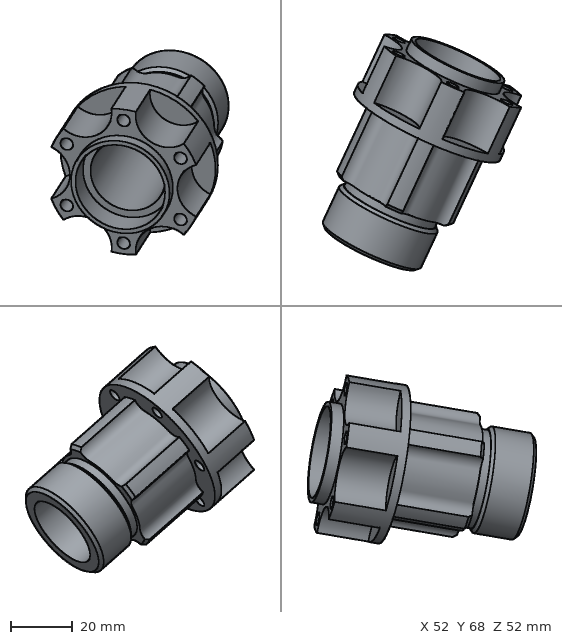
import cadquery as cq
import math

flange_radius = 26.01
spigot_radius = 16.5
collar_radius = 17.55
groove_radius = 16.2
bore_radius = 12.5
counterbore_radius = 15.0

spigot_length = 4.0
flange_length = 20.0
splined_length = 26.0
groove_length = 3.0
total_length = 68.0
counterbore_depth = 9.0
edge_chamfer = 1.15

flange_repeats = 6
scallop_radius = 10.0
scallop_circle_radius = 28.0
scallop_depth = 17.0
bolt_hole_radius = 2.1
bolt_circle_radius = 22.0

spline_count = 5
spline_tip_radius = 21.0
spline_root_radius = 17.5
spline_half_width = 2.8
spline_fillet = 4.0
first_spline_angle = -90.0

flange_start = spigot_length
flange_end = flange_start + flange_length
splines_end = flange_end + splined_length
collar_start = splines_end + groove_length
collar_length = total_length - collar_start


def section_plane(y):
    """Plane across the axis at y, with local X along +X, local Y along +Z and normal along -Y."""
    return cq.Workplane("XZ", origin=(0, y, 0))


def cylinder(radius, start, length):
    return section_plane(start).circle(radius).extrude(-length)


def polar(radius, angle):
    """Point at a radius and an angle in radians."""
    return (radius * math.cos(angle), radius * math.sin(angle))


def spline_body():
    """Splines with parallel sides that run into the root cylinder through tangent fillets."""
    fillet_centre_y = spline_half_width + spline_fillet
    fillet_centre_radius = spline_root_radius + spline_fillet
    root_angle = math.asin(fillet_centre_y / fillet_centre_radius)
    fillet_centre_x = fillet_centre_radius * math.cos(root_angle)
    tip_angle = math.asin(spline_half_width / spline_tip_radius)
    mid_direction = (root_angle + math.pi + 1.5 * math.pi) / 2
    mid_x = fillet_centre_x + spline_fillet * math.cos(mid_direction)
    mid_y = fillet_centre_y + spline_fillet * math.sin(mid_direction)
    mid_radius = math.hypot(mid_x, mid_y)
    mid_angle = math.atan2(mid_y, mid_x)
    side_radius = math.hypot(fillet_centre_x, spline_half_width)
    side_angle = math.atan2(spline_half_width, fillet_centre_x)

    pitch = 2 * math.pi / spline_count
    first = math.radians(first_spline_angle)
    outline = section_plane(flange_end).moveTo(*polar(spline_root_radius, first - root_angle))
    for index in range(spline_count):
        angle = first + index * pitch
        outline = (
            outline
            .threePointArc(polar(mid_radius, angle - mid_angle), polar(side_radius, angle - side_angle))
            .lineTo(*polar(spline_tip_radius, angle - tip_angle))
            .threePointArc(polar(spline_tip_radius, angle), polar(spline_tip_radius, angle + tip_angle))
            .lineTo(*polar(side_radius, angle + side_angle))
            .threePointArc(polar(mid_radius, angle + mid_angle), polar(spline_root_radius, angle + root_angle))
            .threePointArc(
                polar(spline_root_radius, angle + pitch / 2),
                polar(spline_root_radius, angle + pitch - root_angle),
            )
        )
    splines = outline.close().extrude(-splined_length)
    chamfered_envelope = (
        cylinder(spline_tip_radius, flange_end, splined_length).faces(">Y").edges().chamfer(edge_chamfer)
    )
    return splines.intersect(chamfered_envelope)


def flange():
    """Flange with open scallops in its front and bolt holes between them."""
    scallops = (
        section_plane(flange_start)
        .polarArray(scallop_circle_radius, 0, 360, flange_repeats)
        .circle(scallop_radius)
        .extrude(-scallop_depth)
    )
    half_pitch = 180 / flange_repeats
    bolt_holes = (
        section_plane(flange_start)
        .polarArray(bolt_circle_radius, half_pitch, 360, flange_repeats)
        .circle(bolt_hole_radius)
        .extrude(-flange_length)
    )
    return cylinder(flange_radius, flange_start, flange_length).cut(scallops).cut(bolt_holes)


spigot = cylinder(spigot_radius, 0, spigot_length)
groove_neck = cylinder(groove_radius, splines_end, groove_length)
collar = cylinder(collar_radius, collar_start, collar_length).faces("<Y or >Y").edges().chamfer(edge_chamfer)
bore = cylinder(bore_radius, 0, total_length)
counterbore = cylinder(counterbore_radius, 0, counterbore_depth)

result = flange().union(spigot).union(spline_body()).union(groove_neck).union(collar)
result = result.cut(bore).cut(counterbore)